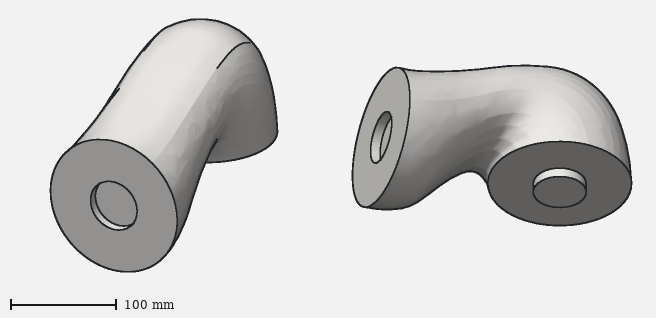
import cadquery as cq
import math

end_radius = 68.04
length = 252.5
end_crown = 41.1
mid_crown = 39.5
outlet_z = -0.8
port_radius = 25.0
port_depth = 9.8
outlet_y = length - end_radius
side_points = 6

crown_depth = end_radius - math.sqrt(end_radius**2 - end_crown**2)

sections = [
    ((0, -end_radius), (0, end_radius), end_radius, end_crown, 0.5),
    ((11.4, -67.7), (11.4, 69.0), 67.0, 40.6, 0.51),
    ((27.8, -64.6), (27.8, 72.5), 64.6, 40.1, 0.53),
    ((50.5, -48.5), (65.6, 83.8), 59.0, mid_crown, 0.54),
    ((81.8, -13.5), (111, 101.2), 56.0, mid_crown, 0.51),
    ((101, 3.0), (156.5, 112.8), 56.5, mid_crown, 0.48),
    ((107.3, 4.8), (193.0, 111.5), 59.3, mid_crown, 0.47),
    ((111, 4.5), (225.2, 91.1), 63.4, mid_crown, 0.47),
    ((114.5, 3.0), (245.5, 50.5), 66.6, 40.1, 0.485),
    ((116.0, 1.3), (250.5, 24.0), 67.7, 40.6, 0.495),
    ((outlet_y - end_radius, outlet_z), (length, outlet_z), end_radius, end_crown, 0.5),
]


def section_wire(inner, outer, half_width, crown_half_width, widest_fraction):
    """Closed section with a crown arc, elliptical sides and a half-ellipse underside."""
    height = math.dist(inner, outer)
    along_y = (outer[0] - inner[0]) / height
    along_z = (outer[1] - inner[1]) / height
    widest = widest_fraction * height

    def point(x, rise):
        return cq.Vector(x, inner[0] + rise * along_y, inner[1] + rise * along_z)

    crease_angle = math.acos(crown_half_width / half_width)
    side_height = (height - crown_depth - widest) / math.sin(crease_angle)

    def side(direction):
        points = []
        for i in range(side_points + 1):
            angle = crease_angle * i / side_points
            x = direction * half_width * math.cos(angle)
            points.append(point(x, widest + side_height * math.sin(angle)))
        return cq.Edge.makeSpline(points)

    underside = []
    for i in range(2 * side_points + 1):
        angle = math.pi * i / (2 * side_points)
        underside.append(point(-half_width * math.cos(angle), widest * (1 - math.sin(angle))))

    crown = cq.Edge.makeThreePointArc(
        point(crown_half_width, height - crown_depth),
        point(0, height),
        point(-crown_half_width, height - crown_depth),
    )
    return cq.Wire.assembleEdges([cq.Edge.makeSpline(underside), side(1), crown, side(-1)])


body = cq.Workplane(cq.Solid.makeLoft([section_wire(*section) for section in sections]))

recess = cq.Workplane("XZ").circle(port_radius).extrude(-port_depth)

spigot = cq.Workplane("XY", origin=(0, outlet_y, outlet_z)).circle(port_radius).extrude(-port_depth)

result = body.cut(recess).union(spigot)